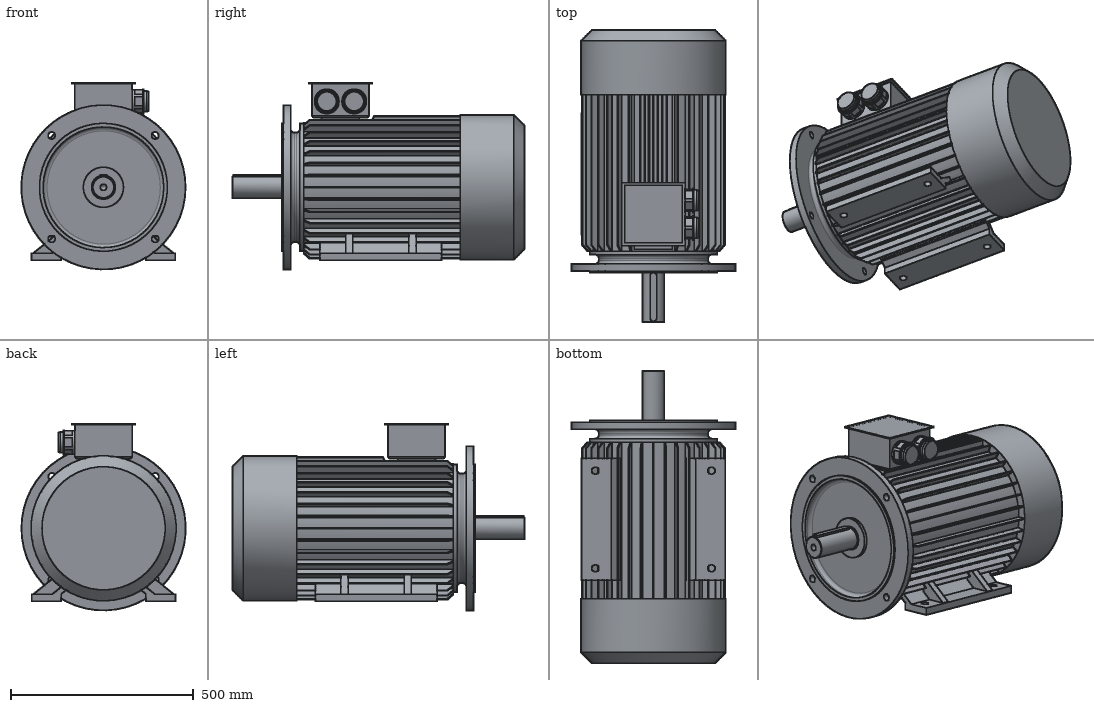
import cadquery as cq
import math


FLANGE_DIAMETER = 450
FLANGE_THICKNESS = 20
BOLT_CIRCLE = 400
BOLT_HOLE_DIAMETER = 19
BOLT_ANGLES = (45, 135, 225, 315)
SPIGOT_DIAMETER = 350
SPIGOT_HEIGHT = 5
RECESS_DIAMETER = 330
RECESS_FLOOR = 12
RECESS_FILLET = 10
BEARING_HUB_DIAMETER = 110
BEARING_HUB_HEIGHT = 9

NECK_DIAMETER = 300
NECK_FILLET = 10
LIP_FRONT = 45
LIP_DIAMETER = 350

STATOR_FRONT = 55
CORE_DIAMETER = 352
FIN_DIAMETER = 392
FIN_THICKNESS = 3
FIN_PITCH_ANGLE = 10
FIN_BEVEL_LENGTH = 17
FIN_BEVEL_DEPTH = 15

PAD_WIDTH = 104
PAD_TOP = 177
PAD_FRONT = 60
TOP_FIN_PITCH = 12
TOP_FINS_PER_SIDE = 3
TOP_FIN_CREST_FRONT = 250
TOP_FIN_FOOT_FRONT = 239

COWL_DIAMETER = 397
COWL_FRONT = 483
COWL_BACK = 660
COWL_CHAMFER = 30

SHAFT_DIAMETER = 60
SHAFT_LENGTH = 140
SHAFT_CHAMFER = 1.25
SHOULDER_DIAMETER = 65
KEY_WIDTH = 18
KEY_TOP = 34
KEY_FRONT = -137
KEY_BACK = -4
CENTRE_HOLE_DIAMETER = 17.29
CENTRE_HOLE_DEPTH = 40
DRILL_POINT_ANGLE = 118

FOOT_OUTER_X = 197
FOOT_INNER_X = 116
FOOT_BOTTOM = -200
FOOT_THICKNESS = 20
FOOT_FRONT = 99.5
FOOT_LENGTH = 333
FOOT_WALL_X = 140
FOOT_WALL_END_X = 90
FOOT_RIB_X = 192
FOOT_SLOPE_ANGLE = 39
FOOT_RIB_THICKNESS = 20
FOOT_RIB_CENTRES = (180, 353)
FOOT_HOLE_X = 159
FOOT_HOLE_DIAMETER = 19
FOOT_HOLE_CENTRES = (133, 400)

BOX_CENTRE_Y = 156
BOX_SIDE = 157
BOX_BOTTOM = 190
BOX_CHAMFER = 5
LID_SIDE = 173
LID_THICKNESS = 2.5
LID_TOP = 286
PEDESTAL_LENGTH = 104

GLAND_SPACING = 75
GLAND_Z = 235
GLAND_COLLAR_DIAMETER = 65
GLAND_COLLAR_LENGTH = 7
GLAND_HEX_ACROSS_FLATS = 60
GLAND_HEX_LENGTH = 22
GLAND_WASHER_DIAMETER = 67
GLAND_WASHER_LENGTH = 2.5
GLAND_CAP_DIAMETER = 57.49
GLAND_CAP_LENGTH = 14
GLAND_CAP_CHAMFER_LENGTH = 6
GLAND_CAP_CHAMFER_DEPTH = 2.5


def cylinder_along_y(diameter, start, end):
    """Cylinder around the motor axis between two Y positions."""
    return cq.Workplane("XZ", origin=(0, start, 0)).circle(diameter / 2).extrude(start - end)


def block(x_range, y_range, z_range):
    """Box given by its limits along the three axes."""
    low, high = zip(x_range, y_range, z_range)
    size = [b - a for a, b in zip(low, high)]
    return cq.Workplane("XY").box(*size, centered=False).translate(low)


def make_flange():
    """Flange, spigot, neck and lip as one turned body with a dished front face."""
    spigot_radius = SPIGOT_DIAMETER / 2
    recess_radius = RECESS_DIAMETER / 2
    hub_radius = BEARING_HUB_DIAMETER / 2
    neck_radius = NECK_DIAMETER / 2
    diagonal = NECK_FILLET * (1 - math.sqrt(0.5))
    recess_diagonal = RECESS_FILLET * (1 - math.sqrt(0.5))
    body = (
        cq.Workplane("XY")
        .moveTo(0, RECESS_FLOOR - BEARING_HUB_HEIGHT)
        .lineTo(hub_radius, RECESS_FLOOR - BEARING_HUB_HEIGHT)
        .lineTo(hub_radius, RECESS_FLOOR)
        .lineTo(recess_radius - RECESS_FILLET, RECESS_FLOOR)
        .threePointArc(
            (recess_radius - recess_diagonal, RECESS_FLOOR - recess_diagonal),
            (recess_radius, RECESS_FLOOR - RECESS_FILLET),
        )
        .lineTo(recess_radius, -SPIGOT_HEIGHT)
        .lineTo(spigot_radius, -SPIGOT_HEIGHT)
        .lineTo(spigot_radius, 0)
        .lineTo(FLANGE_DIAMETER / 2, 0)
        .lineTo(FLANGE_DIAMETER / 2, FLANGE_THICKNESS)
        .lineTo(neck_radius + NECK_FILLET, FLANGE_THICKNESS)
        .threePointArc(
            (neck_radius + diagonal, FLANGE_THICKNESS + diagonal),
            (neck_radius, FLANGE_THICKNESS + NECK_FILLET),
        )
        .lineTo(neck_radius, LIP_FRONT - NECK_FILLET)
        .threePointArc(
            (neck_radius + diagonal, LIP_FRONT - diagonal),
            (neck_radius + NECK_FILLET, LIP_FRONT),
        )
        .lineTo(LIP_DIAMETER / 2, LIP_FRONT)
        .lineTo(LIP_DIAMETER / 2, STATOR_FRONT)
        .lineTo(0, STATOR_FRONT)
        .close()
        .revolve(360, (0, 0), (0, 1))
    )
    bolt_radius = BOLT_CIRCLE / 2
    bolt_points = [
        (bolt_radius * math.cos(math.radians(a)), bolt_radius * math.sin(math.radians(a)))
        for a in BOLT_ANGLES
    ]
    holes = (
        cq.Workplane("XZ")
        .pushPoints(bolt_points)
        .circle(BOLT_HOLE_DIAMETER / 2)
        .extrude(-FLANGE_THICKNESS)
    )
    return body.cut(holes)


def make_fin_envelope():
    """Turned body that limits the fins, bevelled at the front."""
    fin_radius = FIN_DIAMETER / 2
    return (
        cq.Workplane("XY")
        .moveTo(0, STATOR_FRONT)
        .lineTo(fin_radius - FIN_BEVEL_DEPTH, STATOR_FRONT)
        .lineTo(fin_radius, STATOR_FRONT + FIN_BEVEL_LENGTH)
        .lineTo(fin_radius, COWL_FRONT)
        .lineTo(0, COWL_FRONT)
        .close()
        .revolve(360, (0, 0), (0, 1))
    )


def make_stator():
    """Round core with radial fins, except on the top where the flat pad lies."""
    core = cylinder_along_y(CORE_DIAMETER, STATOR_FRONT, COWL_FRONT)
    top_gap = 2 * FIN_PITCH_ANGLE
    first_angle = 90 + top_gap
    fin_count = (360 - 2 * top_gap) // FIN_PITCH_ANGLE + 1
    fins = cq.Workplane("XY")
    for i in range(fin_count):
        fin = block(
            (CORE_DIAMETER / 4, FIN_DIAMETER / 2 + FIN_THICKNESS),
            (STATOR_FRONT, COWL_FRONT),
            (-FIN_THICKNESS / 2, FIN_THICKNESS / 2),
        )
        angle = first_angle + i * FIN_PITCH_ANGLE
        fins = fins.add(fin.rotate((0, 0, 0), (0, 1, 0), -angle))
    fins = fins.combine().intersect(make_fin_envelope())
    return core.union(fins)


def make_top_pad():
    """Flat pad on the stator and the straight fins that stand on it."""
    half_width = PAD_WIDTH / 2
    pad = block((-half_width, half_width), (PAD_FRONT, COWL_FRONT), (0, PAD_TOP))
    fin_top = COWL_DIAMETER / 2
    fin_profile = [
        (TOP_FIN_FOOT_FRONT, PAD_TOP),
        (TOP_FIN_CREST_FRONT, fin_top),
        (COWL_FRONT, fin_top),
        (COWL_FRONT, 0),
        (TOP_FIN_FOOT_FRONT, 0),
    ]
    fin = cq.Workplane("YZ").polyline(fin_profile).close().extrude(FIN_THICKNESS / 2, both=True)
    fins = cq.Workplane("XY")
    for i in range(-TOP_FINS_PER_SIDE, TOP_FINS_PER_SIDE + 1):
        fins = fins.add(fin.translate((i * TOP_FIN_PITCH, 0, 0)))
    fins = fins.combine().intersect(cylinder_along_y(FIN_DIAMETER, STATOR_FRONT, COWL_FRONT))
    return pad.union(fins)


def make_cowl():
    """Fan cowl with a chamfered back edge."""
    cowl = cylinder_along_y(COWL_DIAMETER, COWL_FRONT, COWL_BACK)
    return cowl.faces(">Y").chamfer(COWL_CHAMFER)


def make_shaft():
    """Shaft end with shoulder, key and centre hole."""
    shaft = cylinder_along_y(SHAFT_DIAMETER, -SHAFT_LENGTH, STATOR_FRONT)
    shaft = shaft.faces("<Y").chamfer(SHAFT_CHAMFER)
    shoulder = cylinder_along_y(SHOULDER_DIAMETER, 0, STATOR_FRONT)
    key = (
        cq.Workplane("XY", origin=(0, (KEY_FRONT + KEY_BACK) / 2, 0))
        .slot2D(KEY_BACK - KEY_FRONT, KEY_WIDTH, 90)
        .extrude(KEY_TOP)
    )
    hole_radius = CENTRE_HOLE_DIAMETER / 2
    hole_end = CENTRE_HOLE_DEPTH - SHAFT_LENGTH
    point_depth = hole_radius / math.tan(math.radians(DRILL_POINT_ANGLE / 2))
    centre_hole = (
        cq.Workplane("XY")
        .moveTo(0, -SHAFT_LENGTH)
        .lineTo(hole_radius, -SHAFT_LENGTH)
        .lineTo(hole_radius, hole_end)
        .lineTo(0, hole_end + point_depth)
        .close()
        .revolve(360, (0, 0), (0, 1))
    )
    return shaft.union(shoulder).union(key).cut(centre_hole)


def make_foot():
    """Foot on the +X side: pad, wall that slopes up into the stator, and two ribs."""
    pad_top = FOOT_BOTTOM + FOOT_THICKNESS
    slope = math.tan(math.radians(FOOT_SLOPE_ANGLE))
    wall_outline = [
        (FOOT_INNER_X, FOOT_BOTTOM),
        (FOOT_OUTER_X, FOOT_BOTTOM),
        (FOOT_OUTER_X, pad_top),
        (FOOT_WALL_X, pad_top),
        (FOOT_WALL_END_X, pad_top + slope * (FOOT_WALL_X - FOOT_WALL_END_X)),
        (FOOT_WALL_END_X, pad_top + slope * (FOOT_INNER_X - FOOT_WALL_END_X)),
        (FOOT_INNER_X, pad_top),
    ]
    foot = (
        cq.Workplane("XZ", origin=(0, FOOT_FRONT, 0)).polyline(wall_outline).close().extrude(-FOOT_LENGTH)
    )
    rib_outline = [
        (FOOT_INNER_X, pad_top),
        (FOOT_RIB_X, pad_top),
        (FOOT_INNER_X, pad_top + slope * (FOOT_RIB_X - FOOT_INNER_X)),
    ]
    for rib_y in FOOT_RIB_CENTRES:
        rib_start = rib_y - FOOT_RIB_THICKNESS / 2
        rib = (
            cq.Workplane("XZ", origin=(0, rib_start, 0))
            .polyline(rib_outline)
            .close()
            .extrude(-FOOT_RIB_THICKNESS)
        )
        foot = foot.union(rib)
    holes = (
        cq.Workplane("XY", origin=(0, 0, FOOT_BOTTOM))
        .pushPoints([(FOOT_HOLE_X, y) for y in FOOT_HOLE_CENTRES])
        .circle(FOOT_HOLE_DIAMETER / 2)
        .extrude(FOOT_THICKNESS)
    )
    return foot.cut(holes)


def make_terminal_box():
    """Terminal box with its lid, on a pedestal that stands on the top pad."""
    lid_bottom = LID_TOP - LID_THICKNESS
    base = cq.Workplane("XY", origin=(0, BOX_CENTRE_Y, 0))
    box = base.workplane(BOX_BOTTOM).rect(BOX_SIDE, BOX_SIDE).extrude(lid_bottom - BOX_BOTTOM)
    box = box.faces("<Z").chamfer(BOX_CHAMFER)
    lid = base.workplane(lid_bottom).rect(LID_SIDE, LID_SIDE).extrude(LID_THICKNESS)
    pedestal = base.workplane(PAD_TOP).rect(PAD_WIDTH, PEDESTAL_LENGTH).extrude(BOX_BOTTOM - PAD_TOP)
    return pedestal.union(box).union(lid)


def make_gland(centre_y):
    """Cable gland on the +X wall of the terminal box: collar, hexagon, washer and cap."""
    hex_start = GLAND_COLLAR_LENGTH
    hex_end = hex_start + GLAND_HEX_LENGTH
    washer_end = hex_end + GLAND_WASHER_LENGTH
    cap_end = washer_end + GLAND_CAP_LENGTH
    cap_radius = GLAND_CAP_DIAMETER / 2
    base = cq.Workplane("YZ", origin=(BOX_SIDE / 2, centre_y, GLAND_Z))
    round_body = base.circle(GLAND_COLLAR_DIAMETER / 2).extrude(hex_end)
    hex_diagonal = GLAND_HEX_ACROSS_FLATS / math.cos(math.radians(30))
    hexagon = (
        base.workplane(hex_start)
        .transformed(rotate=(0, 0, 90))
        .polygon(6, hex_diagonal)
        .extrude(GLAND_HEX_LENGTH)
        .intersect(round_body)
    )
    collar = base.circle(GLAND_COLLAR_DIAMETER / 2).extrude(hex_start)
    washer = base.workplane(hex_end).circle(GLAND_WASHER_DIAMETER / 2).extrude(GLAND_WASHER_LENGTH)
    cap = (
        cq.Workplane("XY")
        .moveTo(washer_end, 0)
        .lineTo(washer_end, cap_radius)
        .lineTo(cap_end - GLAND_CAP_CHAMFER_LENGTH, cap_radius)
        .lineTo(cap_end, cap_radius - GLAND_CAP_CHAMFER_DEPTH)
        .lineTo(cap_end, 0)
        .close()
        .revolve(360, (0, 0), (1, 0))
        .translate((BOX_SIDE / 2, centre_y, GLAND_Z))
    )
    return collar.union(hexagon).union(washer).union(cap)


foot = make_foot()
result = make_stator().union(make_top_pad()).union(make_flange()).union(make_cowl())
result = result.union(make_shaft())
result = result.union(foot).union(foot.mirror("YZ"))
result = result.union(make_terminal_box())
for side in (-1, 1):
    result = result.union(make_gland(BOX_CENTRE_Y + side * GLAND_SPACING / 2))